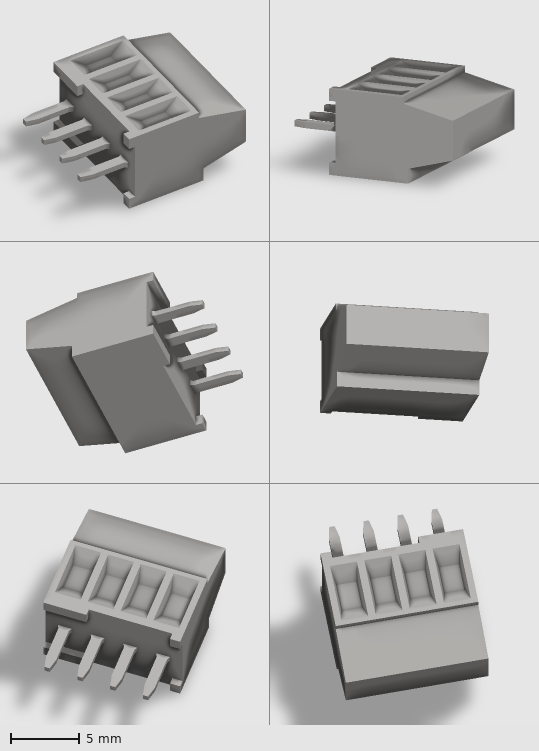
import cadquery as cq

pole_count = 4
pitch = 2.55
width = 10.63
height = 6.5
total_length = 13.4
housing_length = 10.01

standoff = 0.51
top_land_length = 6.0
bottom_land_length = 6.39
nose_bottom = 2.12
nose_top = 5.12
lower_taper_end = 1.13
upper_taper_end = 6.0

foot_height = 0.91
wide_foot_width = 3.35
narrow_foot_width = 0.79

pocket_width = 2.0
pocket_length = 4.5
pocket_floor_width = 1.47
pocket_floor_length = 2.08
pocket_depth = 0.8
pocket_center_y = 3.4

pin_width = 0.8
pin_thickness = 0.45
pin_reach = total_length - housing_length
pin_tip_width = 0.4
pin_tip_length = 0.92
pin_root_width = 1.07
pin_root_length = 0.27

pole_positions = [(i - (pole_count - 1) / 2) * pitch for i in range(pole_count)]


def make_housing():
    """Stepped and tapered profile, extruded across the full width."""
    profile = [
        (standoff, 0),
        (bottom_land_length, 0),
        (bottom_land_length, lower_taper_end),
        (housing_length, nose_bottom),
        (housing_length, nose_top),
        (top_land_length, upper_taper_end),
        (top_land_length, height),
        (standoff, height),
    ]
    return cq.Workplane("YZ").polyline(profile).close().extrude(width / 2, both=True)


def make_foot(left_x, foot_width, bottom_z):
    """Block reaching from the pin-side wall out to the standoff plane."""
    foot = cq.Workplane("XY").box(foot_width, standoff, foot_height, centered=False)
    return foot.translate((left_x, 0, bottom_z))


def make_pocket(center_x):
    """Rectangular funnel narrowing from the top face to its floor."""
    return (
        cq.Workplane("XY", origin=(center_x, pocket_center_y, height))
        .rect(pocket_width, pocket_length)
        .workplane(offset=-pocket_depth)
        .rect(pocket_floor_width, pocket_floor_length)
        .loft(ruled=True)
    )


def make_pin(center_x):
    """Flat pin with a flared root and a tapered tip."""
    tip_y = -pin_reach
    right_edge = [
        (pin_root_width / 2, standoff),
        (pin_width / 2, standoff - pin_root_length),
        (pin_width / 2, tip_y + pin_tip_length),
        (pin_tip_width / 2, tip_y),
    ]
    left_edge = [(-x, y) for x, y in reversed(right_edge)]
    return (
        cq.Workplane("XY", origin=(center_x, 0, height / 2))
        .polyline(right_edge + left_edge)
        .close()
        .extrude(pin_thickness / 2, both=True)
    )


result = make_housing()

for foot_bottom in (0, height - foot_height):
    result = result.union(make_foot(-width / 2, wide_foot_width, foot_bottom))
    result = result.union(make_foot(width / 2 - narrow_foot_width, narrow_foot_width, foot_bottom))

for pole_x in pole_positions:
    result = result.cut(make_pocket(pole_x))
    result = result.union(make_pin(pole_x))